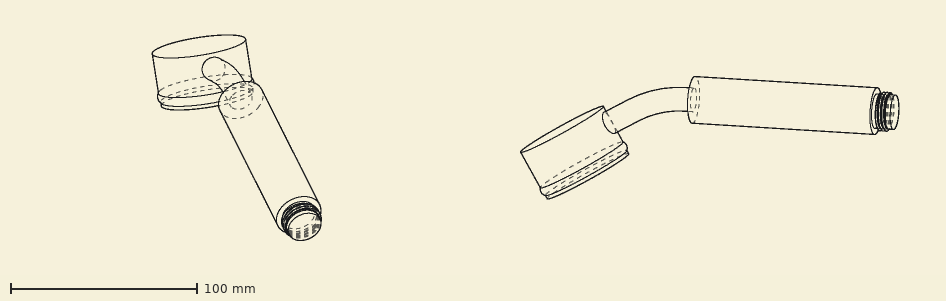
import cadquery as cq
import math


handle_diameter = 25.2
handle_length = 101.4
spigot_diameter = 18.6
spigot_length = 10.3

thread_diameter = 21.1
thread_pitch = 1.82
thread_turns = 5
thread_start = 2.3
thread_length = 5.4
thread_phase = 3.0
thread_root_width = 1.53
thread_sink = 0.2

neck_diameter = 12.8
neck_straight = 4.5
bend_radius = 57.1
bend_angle = 30
neck_to_head = 15.7

head_diameter = 51.0
head_height = 29.0
bead_diameter = 52.5
bead_top = 22.0
bead_bottom = 27.0
lip_diameter = 50.0
neck_depth = 8.7

neck_slope = math.radians(bend_angle)
head_radius = head_diameter / 2
neck_run = neck_to_head + head_radius


def rod(diameter, start_x, length):
    """Solid cylinder on the handle axis."""
    return cq.Workplane("YZ", origin=(start_x, 0, 0)).circle(diameter / 2).extrude(length)


def make_thread():
    """Helical ridge, trimmed square at both ends of the threaded length."""
    inner_radius = spigot_diameter / 2 - thread_sink
    helix = cq.Wire.makeHelix(thread_pitch, thread_turns * thread_pitch, inner_radius)
    ridge = (
        cq.Workplane("XZ")
        .moveTo(inner_radius, -thread_root_width / 2)
        .lineTo(thread_diameter / 2, 0)
        .lineTo(inner_radius, thread_root_width / 2)
        .close()
        .sweep(cq.Workplane(helix), isFrenet=True)
    )
    ridge = ridge.rotate((0, 0, 0), (0, 1, 0), 90)
    ridge = ridge.translate((handle_length + thread_phase - thread_pitch, 0, 0))
    trim = rod(handle_diameter, handle_length + thread_start, thread_length)
    return ridge.intersect(trim)


def make_neck():
    """Round bar that leaves the handle, bends down and runs on to the head axis."""
    bend_end_x = -neck_straight - bend_radius * math.sin(neck_slope)
    bend_end_z = -bend_radius * (1 - math.cos(neck_slope))
    bend_middle = (
        -neck_straight - bend_radius * math.sin(neck_slope / 2),
        -bend_radius * (1 - math.cos(neck_slope / 2)),
    )
    head_x = bend_end_x - neck_run * math.cos(neck_slope)
    head_z = bend_end_z - neck_run * math.sin(neck_slope)
    path = (
        cq.Workplane("XZ")
        .moveTo(0, 0)
        .lineTo(-neck_straight, 0)
        .threePointArc(bend_middle, (bend_end_x, bend_end_z))
        .lineTo(head_x, head_z)
    )
    neck = cq.Workplane("YZ").circle(neck_diameter / 2).sweep(path)
    return neck, (head_x, 0, head_z)


def make_head(center):
    """Turned head with a rounded bead above its lip; center is where the neck axis meets its axis."""
    bead_middle = (bead_top + bead_bottom) / 2
    head = (
        cq.Workplane("XZ")
        .moveTo(0, neck_depth)
        .lineTo(head_radius, neck_depth)
        .lineTo(head_radius, neck_depth - bead_top)
        .threePointArc(
            (bead_diameter / 2, neck_depth - bead_middle),
            (lip_diameter / 2, neck_depth - bead_bottom),
        )
        .lineTo(lip_diameter / 2, neck_depth - head_height)
        .lineTo(0, neck_depth - head_height)
        .close()
        .revolve(360, (0, 0, 0), (0, 1, 0))
    )
    return head.rotate((0, 0, 0), (0, 1, 0), -bend_angle).translate(center)


handle = rod(handle_diameter, 0, handle_length)
spigot = rod(spigot_diameter, handle_length, spigot_length)
neck, head_center = make_neck()
head = make_head(head_center)

result = handle.union(neck).union(head).union(spigot).union(make_thread())